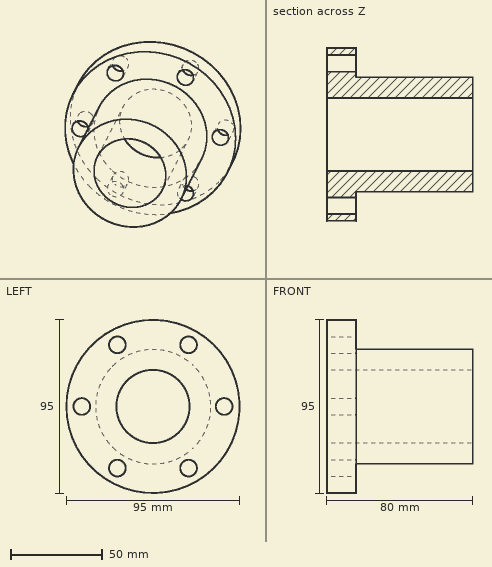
import cadquery as cq

flange_diameter = 95.0
flange_thickness = 16.0
sleeve_diameter = 63.0
total_length = 80.0

bore_diameter = 40.0
bolt_hole_count = 6
bolt_hole_diameter = 9.0
bolt_circle_diameter = 78.0


def cylinder_along_x(length, diameter):
    """Solid cylinder on the X axis, beginning at the flange face X = 0."""
    return cq.Workplane("YZ").circle(diameter / 2).extrude(length)


def bolt_holes():
    """Cutters for the flange holes; the first one lies on the Y axis."""
    return (
        cq.Workplane("YZ")
        .polarArray(bolt_circle_diameter / 2, 0, 360, bolt_hole_count)
        .circle(bolt_hole_diameter / 2)
        .extrude(flange_thickness)
    )


flange = cylinder_along_x(flange_thickness, flange_diameter)
sleeve = cylinder_along_x(total_length, sleeve_diameter)
bore = cylinder_along_x(total_length, bore_diameter)

result = flange.union(sleeve).cut(bore).cut(bolt_holes())